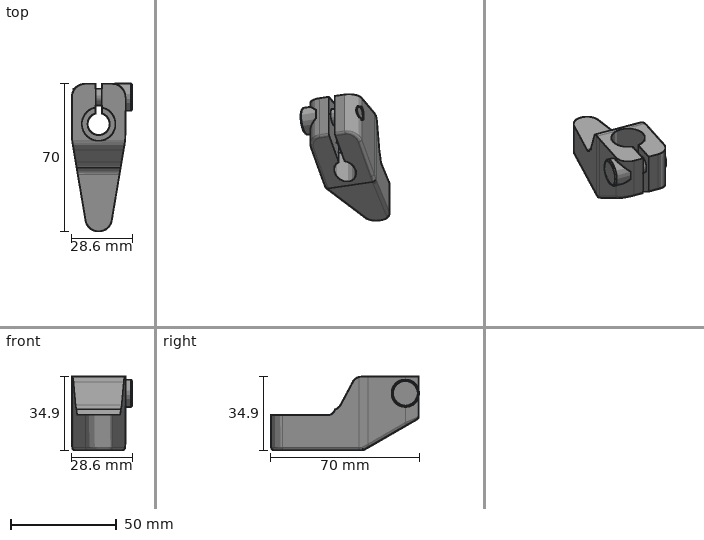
import cadquery as cq
import math


width = 25.4
length = 69.85
height = 34.925
half_width = width / 2

bore_radius = 7.9375
through_radius = 5.16
bore_depth = 19.05
slot_width = 2.95

back_y = 19.05
front_y = back_y - length
corner_radius = 6.35
tip_radius = 6.35
waist_y = back_y - 26.2
waist_radius = 25.4

underside_angle = math.radians(30)
slope_angle = math.radians(62)
crest_radius = 4.7625
slope_end_drop = 13.3
root_radius = 4.7625
ridge_drop = 15.6
foot_radius = 3.175
arm_height = 16.77
bottom_fillet = 1.5875

screw_y = back_y - corner_radius
screw_z = height - 7.9375
shank_radius = 4.0
tapped_radius = 3.4
head_radius = 6.5
head_length = 8.0
head_projection = 3.22
head_chamfer = 0.7
tip_recess = 0.7


def round_corner_pair(prism, corner_y, radius):
    """Round the left and right vertical edges that stand at corner_y."""
    for side in (-1, 1):
        nearest = cq.selectors.NearestToPointSelector((side * half_width, corner_y, height / 2))
        prism = prism.edges("|Z").edges(nearest).fillet(radius)
    return prism


def plan_prism():
    """Prism of the plan outline, tall enough below Z = 0 to be trimmed by either underside."""
    tip_y = front_y + tip_radius
    run = waist_y - tip_y
    taper = math.acos(tip_radius / math.hypot(half_width, run)) - math.atan2(run, half_width)
    tangent_x = tip_radius * math.cos(taper)
    tangent_y = tip_y - tip_radius * math.sin(taper)
    prism = (
        cq.Workplane("XY", origin=(0, 0, -length))
        .moveTo(-half_width, back_y)
        .lineTo(half_width, back_y)
        .lineTo(half_width, waist_y)
        .lineTo(tangent_x, tangent_y)
        .threePointArc((0, front_y), (-tangent_x, tangent_y))
        .lineTo(-half_width, waist_y)
        .close()
        .extrude(length + height)
    )
    prism = round_corner_pair(prism, back_y, corner_radius)
    return round_corner_pair(prism, waist_y, waist_radius)


def arc_point(center, radius, angle):
    """Point on a circle in the YZ plane, with the angle measured from +Y toward +Z."""
    return (center[0] + radius * math.cos(angle), center[1] + radius * math.sin(angle))


def side_prism():
    """Side profile over a level base: rounded crest, front slope, two hollows and the arm top."""
    up = math.pi / 2
    slope_normal = up + slope_angle

    crest_center = (-bore_radius, height - crest_radius)
    crest_start = (-bore_radius, height)
    crest_middle = arc_point(crest_center, crest_radius, up + slope_angle / 2)
    crest_end = arc_point(crest_center, crest_radius, slope_normal)

    slope_end_z = height - slope_end_drop
    slope_end = (crest_end[0] - (crest_end[1] - slope_end_z) / math.tan(slope_angle), slope_end_z)

    ridge_z = height - ridge_drop
    root_center = arc_point(slope_end, root_radius, slope_normal)
    root_start_angle = slope_normal - math.pi
    root_end_angle = math.asin((ridge_z - root_center[1]) / root_radius)
    root_middle = arc_point(root_center, root_radius, (root_start_angle + root_end_angle) / 2)
    ridge = arc_point(root_center, root_radius, root_end_angle)

    foot_center_z = arm_height + foot_radius
    foot_start_angle = math.asin((ridge_z - foot_center_z) / foot_radius)
    foot_center = (ridge[0] - foot_radius * math.cos(foot_start_angle), foot_center_z)
    foot_middle = arc_point(foot_center, foot_radius, (foot_start_angle - up) / 2)
    foot_end = (foot_center[0], arm_height)

    return (
        cq.Workplane("YZ")
        .moveTo(back_y, height)
        .lineTo(*crest_start)
        .threePointArc(crest_middle, crest_end)
        .lineTo(*slope_end)
        .threePointArc(root_middle, ridge)
        .threePointArc(foot_middle, foot_end)
        .lineTo(front_y, arm_height)
        .lineTo(front_y, 0)
        .lineTo(back_y, 0)
        .close()
        .extrude(half_width, both=True)
    )


def level_bottom_prism():
    """Plan prism with a rounded rim on the level underside Z = 0."""
    above = cq.Workplane("XY").rect(2 * length, 2 * length).extrude(height)
    return plan_prism().intersect(above).faces("<Z").edges().fillet(bottom_fillet)


def sloped_bottom_prism():
    """Plan prism with a rounded rim on the underside that rises from the waist to the back."""
    tilt = math.degrees(underside_angle)
    above = (
        cq.Workplane("XY")
        .rect(2 * length, 4 * length)
        .extrude(2 * length)
        .rotate((0, 0, 0), (1, 0, 0), tilt)
        .translate((0, waist_y, 0))
    )
    slope_normal = cq.Vector(0, math.sin(underside_angle), -math.cos(underside_angle))
    slope = cq.selectors.DirectionMinMaxSelector(slope_normal)
    return plan_prism().intersect(above).faces(slope).edges().fillet(bottom_fillet)


def lever_blank():
    """Solid lever; the two rounded undersides meet in a mitre at the waist."""
    return level_bottom_prism().intersect(sloped_bottom_prism()).intersect(side_prism())


def bore_and_slot():
    """Stepped bore and the clamp slot that opens it to the back face."""
    bore = cq.Workplane("XY").workplane(offset=height - bore_depth).circle(bore_radius).extrude(bore_depth)
    through_hole = cq.Workplane("XY").circle(through_radius).extrude(height)
    slot = cq.Workplane("XY").center(0, back_y / 2).rect(slot_width, back_y).extrude(height)
    return bore.union(through_hole).union(slot)


def screw_cylinder(radius, start_x, end_x):
    """Cylinder on the screw axis between two X positions."""
    return (
        cq.Workplane("YZ", origin=(start_x, screw_y, screw_z))
        .circle(radius)
        .extrude(end_x - start_x)
    )


def clamping_screw():
    """Cap screw whose head is partly sunk into the +X side of the clamp."""
    head_end_x = half_width + head_projection
    head_seat_x = head_end_x - head_length
    head = screw_cylinder(head_radius, head_seat_x, head_end_x).faces(">X").chamfer(head_chamfer)
    return head.union(screw_cylinder(shank_radius, tip_recess - half_width, head_seat_x))


tapped_mouth = screw_cylinder(tapped_radius, -half_width, tip_recess - half_width)
lever = lever_blank().cut(bore_and_slot()).cut(tapped_mouth)
result = lever.union(clamping_screw())